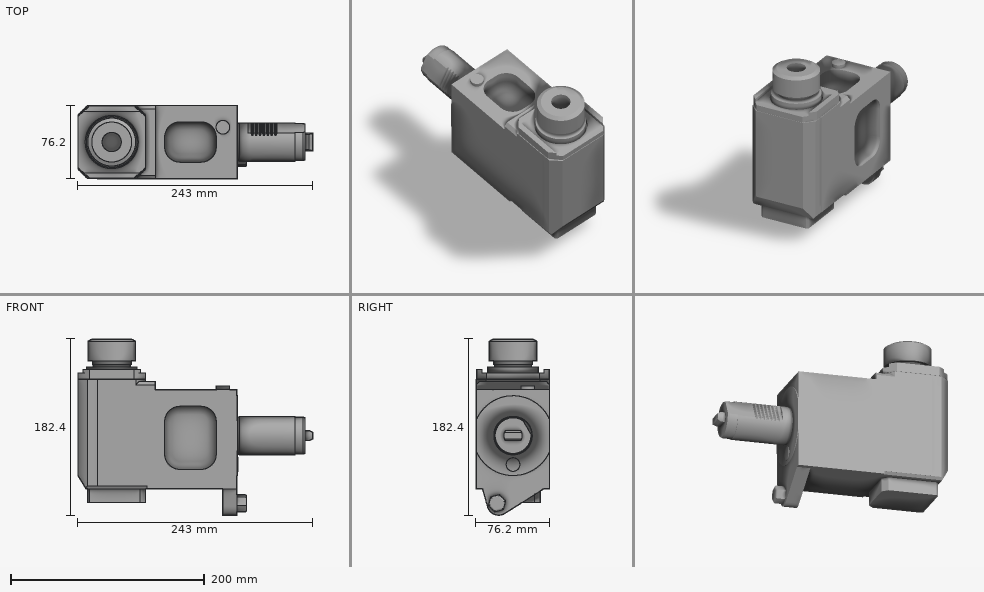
import cadquery as cq
import math


overall_length = 243.0

body_front = -38.2
body_back = 38.0
body_top = 47.6
body_bottom = -55.2
body_right = 129.3
body_left = -14.5

head_half_length = 35.0
head_half_width = 37.7
head_corner = 9.7
head_top = 58.0
nose_bevel_length = 8.5
nose_bevel_height = 13.9
skirt_chamfer_depth = 2.2
skirt_chamfer_height = 3.0
skirt_right = 36.7

step_right = 45.2
step_top = 56.1
step_edge = 3.6

cover_gap = 0.7
cover_gap_inset = 0.5
cover_top = 65.0
cover_corner_length = 12.0
cover_corner_width = 10.5
cover_bore_radius = 27.5
ridge_top = 68.5
ridge_width = 5.8

flange_radius = 26.2
flange_top = 71.2
neck_radius = 19.2
neck_top = 73.6
collar_radius = 20.2
nut_radius = 24.8
nut_bottom = 77.3
nut_top = 99.9
nut_chamfer_width = 4.1
nut_chamfer_height = 2.5
bore_radius = 10.0
bore_depth = 24.3

foot_left = -25.0
foot_right = head_half_length
foot_half_width = 28.2
foot_bottom = -69.3
foot_left_chamfer = 2.2
foot_right_chamfer = 5.8

pocket_left = 54.7
pocket_right = 108.1
pocket_corner = 16.0
pocket_floor_fillet = 8.0
side_pocket_bottom = -35.0
side_pocket_top = 30.4
side_pocket_depth = 12.0
top_pocket_half_width = 21.0
top_pocket_depth = 21.1

plug_radius = 7.0
top_plug_x = 115.0
top_plug_y = 15.3
top_plug_height = 4.0
face_plug_z = -30.0
face_plug_height = 1.5

seal_radius = 41.3
seal_thickness = 0.7
shank_radius = 20.0
shank_neck_radius = 19.5
shank_start = 132.2
shank_end = 189.3
pilot_radius = 19.2
pilot_end = 200.0
pilot_chamfer_length = 2.2
pilot_chamfer_width = 0.7
rack_angle = 30.0
rack_flat_distance = 16.8
rack_start = 141.0
rack_first_groove = 145.3
rack_last_groove = 169.4
rack_groove_count = 7
rack_pitch = (rack_last_groove - rack_first_groove) / (rack_groove_count - 1)
rack_groove_depth = 1.5
rack_groove_opening = 2.7
rack_groove_floor = 1.0

tang_radius = 9.5
tang_thickness = 10.5
tang_half_thickness = tang_thickness / 2
tang_tip_half_thickness = 3.5
tang_taper_start = 204.0
tang_end = overall_length - head_half_length

lug_left = 114.7
lug_tip_y = -14.8
lug_tip_z = -70.5
lug_tip_radius = 12.0
lug_left_root = 31.5
lug_right_root = -31.5
screw_y = -16.5
screw_z = -70.0
screw_corner_radius = 9.2
screw_turn = 15.0
screw_end = 139.5
screw_end_fillet = 2.0


def box(x0, x1, y0, y1, z0, z1):
    """Box between opposite corners."""
    return cq.Workplane("XY").box(x1 - x0, y1 - y0, z1 - z0, centered=False).translate((x0, y0, z0))


def octagon(half_length, half_width, corner_length, corner_width, z0, z1):
    """Upright eight-sided column centred on the spindle axis."""
    flat_length = half_length - corner_length
    flat_width = half_width - corner_width
    return (
        cq.Workplane("XY", origin=(0, 0, z0))
        .polyline([
            (-flat_length, -half_width),
            (flat_length, -half_width),
            (half_length, -flat_width),
            (half_length, flat_width),
            (flat_length, half_width),
            (-flat_length, half_width),
            (-half_length, flat_width),
            (-half_length, -flat_width),
        ])
        .close()
        .extrude(z1 - z0)
    )


def disc_along_x(radius, x0, x1, y=0, z=0):
    """Cylinder parallel to the X axis."""
    return cq.Workplane("YZ", origin=(x0, y, z)).circle(radius).extrude(x1 - x0)


def wedge_along_x(points, x0, x1):
    """Prism along X from (Y, Z) points."""
    return cq.Workplane("YZ", origin=(x0, 0, 0)).polyline(points).close().extrude(x1 - x0)


def make_body():
    body = box(body_left, body_right, body_front, body_back, body_bottom, body_top)
    upper = box(body_left, head_half_length - head_corner, body_front, body_back, body_top, head_top)
    step = box(0, step_right, body_front, body_back, 0, step_top)
    step = step.faces(">Z").edges("|X").chamfer(step_edge)
    head = octagon(head_half_length, head_half_width, head_corner, head_corner, body_bottom, head_top)
    bevel = (
        cq.Workplane("XZ")
        .polyline([
            (-head_half_length, body_bottom),
            (-head_half_length, body_bottom + nose_bevel_height),
            (-head_half_length + nose_bevel_length, body_bottom),
        ])
        .close()
        .extrude(head_half_width, both=True)
    )
    body = body.union(upper).union(step).union(head).cut(bevel)
    for side, edge in ((-1, body_front), (1, body_back)):
        skirt = [
            (edge, body_bottom),
            (edge, body_bottom + skirt_chamfer_height),
            (side * head_half_width, body_bottom + skirt_chamfer_height),
            (side * (head_half_width - skirt_chamfer_depth), body_bottom),
        ]
        body = body.cut(wedge_along_x(skirt, -head_half_length, skirt_right))
    return body


def make_cover():
    gap_top = head_top + cover_gap
    corner = (cover_corner_length, cover_corner_width)
    neck_half_length = head_half_length - cover_gap_inset
    neck_half_width = head_half_width - cover_gap_inset
    neck = octagon(neck_half_length, neck_half_width, *corner, head_top, gap_top)
    plate = octagon(head_half_length, head_half_width, *corner, gap_top, ridge_top)
    channel_half_width = head_half_width - ridge_width
    channel = box(
        -head_half_length, head_half_length, -channel_half_width, channel_half_width, cover_top, ridge_top
    )
    bore = cq.Workplane("XY", origin=(0, 0, gap_top)).circle(cover_bore_radius).extrude(ridge_top - gap_top)
    return neck.union(plate.cut(channel).cut(bore))


def make_spindle():
    bore_floor = nut_top - bore_depth
    return (
        cq.Workplane("XZ")
        .polyline([
            (0, head_top),
            (flange_radius, head_top),
            (flange_radius, flange_top),
            (neck_radius, flange_top),
            (neck_radius, neck_top),
            (collar_radius, neck_top),
            (collar_radius, nut_bottom),
            (nut_radius, nut_bottom),
            (nut_radius, nut_top - nut_chamfer_height),
            (nut_radius - nut_chamfer_width, nut_top),
            (bore_radius, nut_top),
            (bore_radius, bore_floor),
            (0, bore_floor),
        ])
        .close()
        .revolve(360, (0, 0, 0), (0, 1, 0))
    )


def make_foot():
    foot = box(foot_left, foot_right, -foot_half_width, foot_half_width, foot_bottom, body_bottom)
    foot = foot.edges("|Z and <X").chamfer(foot_left_chamfer)
    return foot.edges("|Z and >X").chamfer(foot_right_chamfer)


def make_side_pocket():
    floor_y = body_front + side_pocket_depth
    pocket = box(pocket_left, pocket_right, body_front, floor_y, side_pocket_bottom, side_pocket_top)
    return pocket.edges("|Y").fillet(pocket_corner).faces(">Y").edges().fillet(pocket_floor_fillet)


def make_top_pocket():
    pocket = box(
        pocket_left, pocket_right, -top_pocket_half_width, top_pocket_half_width,
        body_top - top_pocket_depth, body_top,
    )
    return pocket.edges("|Z").fillet(pocket_corner).faces("<Z").edges().fillet(pocket_floor_fillet)


def make_plugs():
    top_plug = (
        cq.Workplane("XY", origin=(top_plug_x, top_plug_y, body_top))
        .circle(plug_radius)
        .extrude(top_plug_height)
    )
    face_plug = disc_along_x(plug_radius, body_right, body_right + face_plug_height, z=face_plug_z)
    return top_plug.union(face_plug)


def make_seal():
    seal_end = body_right + seal_thickness
    width_limit = box(body_right, seal_end, body_front, body_back, -seal_radius, seal_radius)
    return disc_along_x(seal_radius, body_right, seal_end).intersect(width_limit)


def make_rack_cut():
    """Flat with cross grooves, drawn with its outward normal along +Y and then turned."""
    groove_floor_y = rack_flat_distance - rack_groove_depth
    cut = box(rack_start, pilot_end, rack_flat_distance, 2 * shank_radius, -shank_radius, shank_radius)
    for index in range(rack_groove_count):
        centre = rack_first_groove + index * rack_pitch
        groove = (
            cq.Workplane("XY")
            .polyline([
                (centre - rack_groove_opening / 2, rack_flat_distance),
                (centre - rack_groove_floor / 2, groove_floor_y),
                (centre + rack_groove_floor / 2, groove_floor_y),
                (centre + rack_groove_opening / 2, rack_flat_distance),
            ])
            .close()
            .extrude(shank_radius, both=True)
        )
        cut = cut.union(groove)
    return cut.rotate((0, 0, 0), (1, 0, 0), rack_angle)


def make_shank():
    shank = disc_along_x(shank_neck_radius, body_right, shank_start)
    shank = shank.union(disc_along_x(shank_radius, shank_start, shank_end))
    pilot = disc_along_x(pilot_radius, shank_end, pilot_end)
    pilot = pilot.faces(">X").chamfer(pilot_chamfer_length, pilot_chamfer_width)
    return shank.union(pilot).cut(make_rack_cut())


def make_tang():
    outline = (
        cq.Workplane("XZ")
        .polyline([
            (pilot_end, -tang_half_thickness),
            (tang_taper_start, -tang_half_thickness),
            (tang_end, -tang_tip_half_thickness),
            (tang_end, tang_tip_half_thickness),
            (tang_taper_start, tang_half_thickness),
            (pilot_end, tang_half_thickness),
        ])
        .close()
        .extrude(tang_radius, both=True)
    )
    return disc_along_x(tang_radius, pilot_end, tang_end).intersect(outline)


def tangent_point(root_y, side):
    """Point where the lug flank from its root on the body touches the round tip."""
    dy = root_y - lug_tip_y
    dz = body_bottom - lug_tip_z
    angle = math.atan2(dz, dy) - side * math.acos(lug_tip_radius / math.hypot(dy, dz))
    return (lug_tip_y + lug_tip_radius * math.cos(angle), lug_tip_z + lug_tip_radius * math.sin(angle))


def make_lug():
    return (
        cq.Workplane("YZ", origin=(lug_left, 0, 0))
        .moveTo(lug_left_root, body_bottom)
        .lineTo(*tangent_point(lug_left_root, 1))
        .threePointArc((lug_tip_y, lug_tip_z - lug_tip_radius), tangent_point(lug_right_root, -1))
        .lineTo(lug_right_root, body_bottom)
        .close()
        .extrude(body_right - lug_left)
    )


def make_screw_head():
    head_length = screw_end - body_right
    return (
        cq.Workplane("YZ", origin=(body_right, screw_y, screw_z))
        .transformed(rotate=(0, 0, screw_turn))
        .polygon(6, 2 * screw_corner_radius)
        .extrude(head_length)
        .faces(">X")
        .edges()
        .fillet(screw_end_fillet)
    )


result = make_body().cut(make_side_pocket()).cut(make_top_pocket())
for feature in (
    make_cover(),
    make_spindle(),
    make_foot(),
    make_plugs(),
    make_seal(),
    make_shank(),
    make_tang(),
    make_lug(),
    make_screw_head(),
):
    result = result.union(feature)